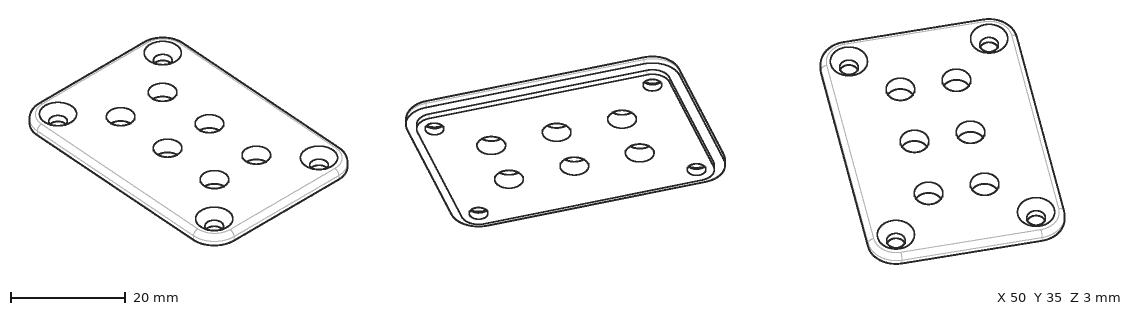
import cadquery as cq

length = 50.0
width = 35.0
plate_thickness = 2.0
corner_radius = 5.0
top_edge_radius = 1.0

lip_height = 1.0
lip_inset = 1.9

screw_diameter = 3.25
countersink_diameter = 6.5
countersink_angle = 90.0

grid_hole_diameter = 5.0
grid_columns = 3
grid_rows = 2
column_pitch = 12.0
row_pitch = 10.0


def rounded_slab(inset, bottom, height):
    """Slab with the plate outline moved inwards by the inset."""
    return (
        cq.Workplane("XY")
        .workplane(offset=bottom)
        .rect(length - 2 * inset, width - 2 * inset)
        .extrude(height)
        .edges("|Z")
        .fillet(corner_radius - inset)
    )


lip = rounded_slab(lip_inset, 0, lip_height)
plate = rounded_slab(0, lip_height, plate_thickness)
plate = plate.faces(">Z").edges().fillet(top_edge_radius)
body = plate.union(lip)

body = (
    body.faces(">Z")
    .workplane(origin=(0, 0, 0))
    .rect(length - 2 * corner_radius, width - 2 * corner_radius, forConstruction=True)
    .vertices()
    .cskHole(screw_diameter, countersink_diameter, countersink_angle)
)

result = (
    body.faces(">Z")
    .workplane(origin=(0, 0, 0))
    .rarray(column_pitch, row_pitch, grid_columns, grid_rows)
    .hole(grid_hole_diameter)
)